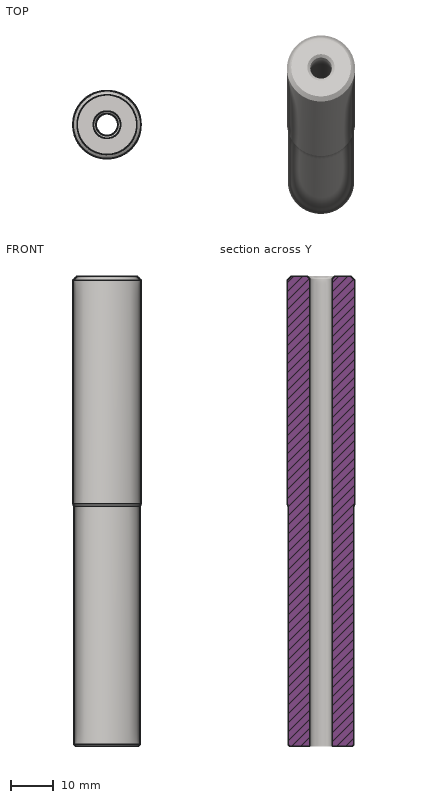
import cadquery as cq

length = 110.0
head_diameter = 16.0
shank_diameter = 15.5
shank_length = 56.1

head_top_chamfer = 1.0
step_taper_height = 0.7
shank_bottom_chamfer = 0.4

hole_diameter = 5.1
mouth_diameter = 6.4
mouth_chamfer = (mouth_diameter - hole_diameter) / 2

head_radius = head_diameter / 2
shank_radius = shank_diameter / 2
hole_radius = hole_diameter / 2

half_section = [
    (hole_radius, 0),
    (shank_radius - shank_bottom_chamfer, 0),
    (shank_radius, shank_bottom_chamfer),
    (shank_radius, shank_length),
    (head_radius, shank_length + step_taper_height),
    (head_radius, length - head_top_chamfer),
    (head_radius - head_top_chamfer, length),
    (hole_radius + mouth_chamfer, length),
    (hole_radius, length - mouth_chamfer),
]

result = cq.Workplane("XZ").polyline(half_section).close().revolve(360, (0, 0, 0), (0, 1, 0))